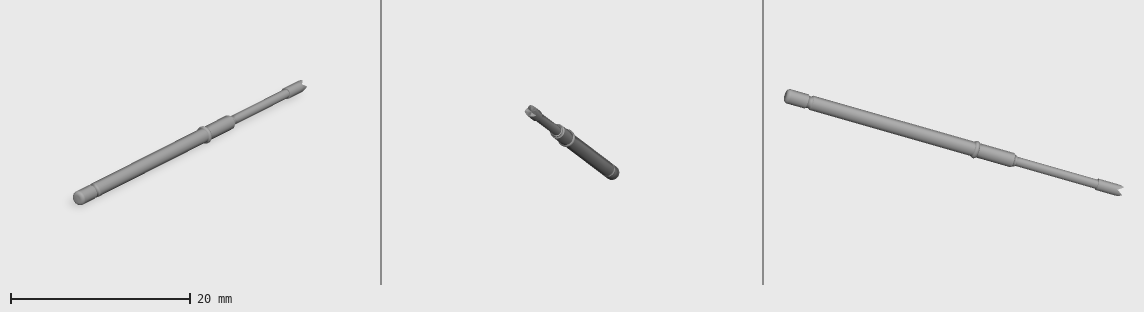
import math

import cadquery as cq

total_length = 40.2

head_diameter = 1.3
head_length = 3.0
shaft_diameter = 1.05

tooth_count = 4
tooth_depth = 0.7

barrel_diameter = 1.65
barrel_start = 12.75
mouth_diameter = 1.3
mouth_length = 0.35
tail_fillet = 0.4

ring_diameter = 2.0
ring_center = 17.53
ring_width = 0.55

groove_center = 37.4
groove_width = 0.6
groove_depth = 0.15

head_radius = head_diameter / 2
shaft_radius = shaft_diameter / 2
barrel_radius = barrel_diameter / 2
mouth_radius = mouth_diameter / 2
ring_radius = ring_diameter / 2

arc_mid = math.sqrt(0.5)

tip_y = total_length / 2
tail_y = -total_length / 2


def station(distance_from_tip):
    """Y coordinate at a distance back from the crown tip."""
    return tip_y - distance_from_tip


def make_turned_body():
    """Half profile (radius along X) revolved about the Y axis."""
    ring_y = station(ring_center)
    groove_y = station(groove_center)
    mouth_y = station(barrel_start)
    mouth_rise = barrel_radius - mouth_radius
    fillet_inset = tail_fillet * (1 - arc_mid)

    profile = (
        cq.Workplane("XY")
        .moveTo(0, tip_y)
        .lineTo(head_radius, tip_y)
        .lineTo(head_radius, station(head_length))
        .lineTo(shaft_radius, station(head_length))
        .lineTo(shaft_radius, mouth_y)
        .lineTo(mouth_radius, mouth_y)
        .threePointArc(
            (mouth_radius + mouth_rise * (1 - arc_mid), mouth_y - mouth_length * arc_mid),
            (barrel_radius, mouth_y - mouth_length),
        )
        .lineTo(barrel_radius, ring_y + ring_width / 2)
        .threePointArc((ring_radius, ring_y), (barrel_radius, ring_y - ring_width / 2))
        .lineTo(barrel_radius, groove_y + groove_width / 2)
        .threePointArc(
            (barrel_radius - groove_depth, groove_y),
            (barrel_radius, groove_y - groove_width / 2),
        )
        .lineTo(barrel_radius, tail_y + tail_fillet)
        .threePointArc(
            (barrel_radius - fillet_inset, tail_y + fillet_inset),
            (barrel_radius - tail_fillet, tail_y),
        )
        .lineTo(0, tail_y)
        .close()
    )
    return profile.revolve(360, (0, 0, 0), (0, 1, 0))


def make_crown_notch(angle):
    """V-shaped cutter across the head, turned about the Y axis by an angle in degrees."""
    half_width = head_radius * math.sin(math.pi / tooth_count)
    cutter = (
        cq.Workplane("XY")
        .moveTo(0, tip_y - tooth_depth)
        .lineTo(half_width, tip_y)
        .lineTo(-half_width, tip_y)
        .close()
        .extrude(head_diameter, both=True)
    )
    return cutter.rotate((0, 0, 0), (0, 1, 0), angle)


result = make_turned_body()

tooth_pitch = 360 / tooth_count
for notch in range(tooth_count // 2):
    result = result.cut(make_crown_notch((notch + 0.5) * tooth_pitch))